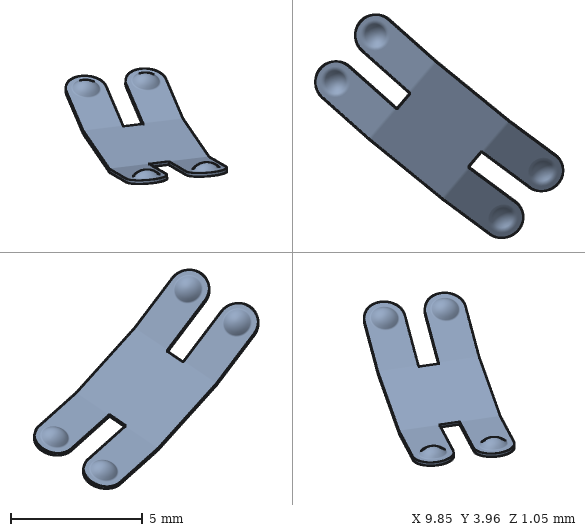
import cadquery as cq
import math

length = 9.85
width = 3.96
thickness = 0.15
plate_length = 3.55
arm_width = 1.59
bend_angle = 15.0
bend_inner_radius = 0.2
dome_radius = 0.68
dome_foot_radius = 0.1
dome_height = 0.26

bend_sin = math.sin(math.radians(bend_angle))
bend_cos = math.cos(math.radians(bend_angle))
bend_outer_radius = bend_inner_radius + thickness
bend_center_z = bend_outer_radius
bend_start_x = plate_length / 2
arm_start_x = bend_start_x + bend_outer_radius * bend_sin
arm_start_z = bend_center_z - bend_outer_radius * bend_cos
arm_length = (length / 2 - arm_start_x) / bend_cos
tip_center = arm_length - arm_width / 2
arm_y = (width - arm_width) / 2

dome_angle = math.acos(1 - dome_height / (dome_radius + dome_foot_radius))
dimple_radius = (dome_radius + dome_foot_radius) * math.sin(dome_angle)
dome_center_z = thickness + dome_height - dome_radius
foot_center_z = thickness + dome_foot_radius


def dome_point(radius, angle):
    return (radius * math.sin(angle), dome_center_z + radius * math.cos(angle))


def foot_point(radius, angle):
    return (dimple_radius - radius * math.sin(angle), foot_center_z - radius * math.cos(angle))


def make_dimple():
    """Hollow dimple of constant wall thickness, its axis along Z."""
    inner_radius = dome_radius - thickness
    under_foot_radius = dome_foot_radius + thickness
    half_angle = dome_angle / 2
    return (
        cq.Workplane("XZ")
        .moveTo(*dome_point(dome_radius, 0))
        .threePointArc(dome_point(dome_radius, half_angle), dome_point(dome_radius, dome_angle))
        .threePointArc(foot_point(dome_foot_radius, half_angle), (dimple_radius, thickness))
        .lineTo(dimple_radius, 0)
        .threePointArc(
            foot_point(under_foot_radius, half_angle), foot_point(under_foot_radius, dome_angle)
        )
        .threePointArc(dome_point(inner_radius, half_angle), dome_point(inner_radius, 0))
        .close()
        .revolve(360, (0, 0, 0), (0, 1, 0))
    )


def make_arm():
    """Flat round-ended arm with its dimple, starting at the origin along +X."""
    strip = cq.Workplane("XY").box(tip_center, arm_width, thickness, centered=(False, True, False))
    tip = cq.Workplane("XY").center(tip_center, 0).circle(arm_width / 2).extrude(thickness)
    opening = cq.Workplane("XY").center(tip_center, 0).circle(dimple_radius).extrude(thickness)
    dimple = make_dimple().translate((tip_center, 0, 0))
    return strip.union(tip).cut(opening).union(dimple)


def make_bend():
    """Curved strip joining the centre plate to an arm on the +X side."""

    def bend_point(radius, angle):
        turn = math.radians(angle)
        return (bend_start_x + radius * math.sin(turn), bend_center_z - radius * math.cos(turn))

    return (
        cq.Workplane("XZ")
        .moveTo(*bend_point(bend_outer_radius, 0))
        .threePointArc(
            bend_point(bend_outer_radius, bend_angle / 2), bend_point(bend_outer_radius, bend_angle)
        )
        .lineTo(*bend_point(bend_inner_radius, bend_angle))
        .threePointArc(
            bend_point(bend_inner_radius, bend_angle / 2), bend_point(bend_inner_radius, 0)
        )
        .close()
        .extrude(arm_width / 2, both=True)
    )


result = cq.Workplane("XY").box(plate_length, width, thickness, centered=(True, True, False))
raised_arm = (
    make_arm()
    .rotate((0, 0, 0), (0, 1, 0), -bend_angle)
    .translate((arm_start_x, 0, arm_start_z))
)
bent_arm = make_bend().union(raised_arm)
for y in (-arm_y, arm_y):
    right_arm = bent_arm.translate((0, y, 0))
    result = result.union(right_arm).union(right_arm.mirror("YZ"))